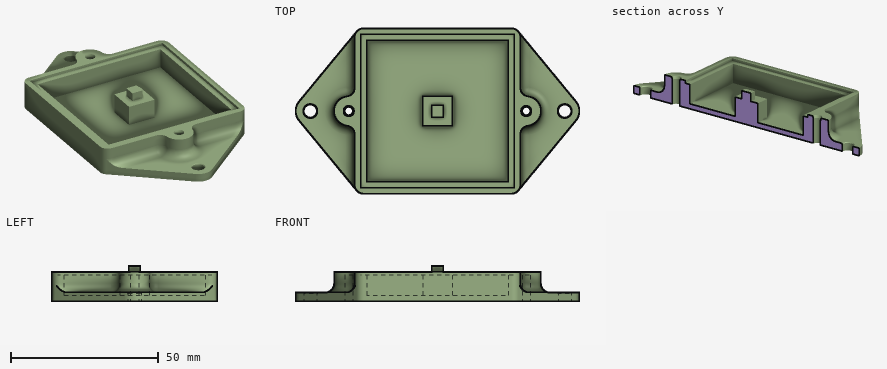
import cadquery as cq
import math

length = 96.0
box_side = 56.0
box_height = 10.0
corner_radius = 3.0

wall = 2.0
ledge_width = 2.0
ledge_depth = 1.0
floor = 2.0
lip_opening = box_side - 2 * wall
cavity_side = lip_opening - 2 * ledge_width

block_side = 10.0
block_top = box_height - ledge_depth
stem_side = 4.0
stem_top = 12.0

ear_thickness = 3.0
ear_tip_radius = 5.0
ear_hole_diameter = 4.4
ear_mouth_diameter = 4.8
ear_mouth_depth = 0.3
ear_hole_x = length / 2 - ear_tip_radius

boss_radius = 5.0
boss_x = 60.0 / 2
screw_hole_diameter = 2.8
screw_mouth_diameter = 3.6
screw_mouth_depth = 1.0

blend_radius = 3.0


def square_block(side, bottom, top):
    block = cq.Workplane("XY").workplane(offset=bottom).rect(side, side)
    return block.extrude(top - bottom)


def footprint():
    """Full-height prism: edges run tangent from the box corner arcs to the round ear tips."""
    corner = box_side / 2 - corner_radius
    run = ear_hole_x - corner
    spacing = math.hypot(run, corner)
    angle = math.atan2(run, corner) + math.asin((ear_tip_radius - corner_radius) / spacing)
    nx = math.cos(angle)
    ny = math.sin(angle)
    corner_x = corner + corner_radius * nx
    corner_y = corner + corner_radius * ny
    tip_x = ear_hole_x + ear_tip_radius * nx
    tip_y = ear_tip_radius * ny
    ears = (
        cq.Workplane("XY")
        .moveTo(-corner_x, corner_y)
        .lineTo(corner_x, corner_y)
        .lineTo(tip_x, tip_y)
        .threePointArc((length / 2, 0), (tip_x, -tip_y))
        .lineTo(corner_x, -corner_y)
        .lineTo(-corner_x, -corner_y)
        .lineTo(-tip_x, -tip_y)
        .threePointArc((-length / 2, 0), (-tip_x, tip_y))
        .close()
        .extrude(box_height)
    )
    return ears.union(rounded_box())


def rounded_box():
    return square_block(box_side, 0, box_height).edges("|Z").fillet(corner_radius)


def housing_on_plate():
    """Box with bosses on an oversized plate, coved where they meet the plate."""
    bosses = cq.Workplane("XY").pushPoints([(-boss_x, 0), (boss_x, 0)]).circle(boss_radius)
    housing = rounded_box().union(bosses.extrude(box_height))
    joints = cq.selectors.BoxSelector(
        (-length, -boss_radius, 0), (length, boss_radius, box_height)
    )
    inner_corners = housing.edges("|Z").edges(joints)
    housing = inner_corners.fillet(blend_radius)

    plate = cq.Workplane("XY").box(2 * length, length, ear_thickness, centered=(True, True, False))
    body = plate.union(housing)
    margin = 0.1
    root_loop = cq.selectors.BoxSelector(
        (-length / 2, -length / 2 + margin, ear_thickness - margin),
        (length / 2, length / 2 - margin, ear_thickness + margin),
    )
    return body.edges(root_loop).fillet(blend_radius)


def tapered_hole(x, top, diameter, mouth_diameter, mouth_depth):
    """Cutter for a through hole that widens to its mouth at the given top height."""
    profile = [
        (0, 0),
        (diameter / 2, 0),
        (diameter / 2, top - mouth_depth),
        (mouth_diameter / 2, top),
        (0, top),
    ]
    cutter = cq.Workplane("XZ").polyline(profile).close().revolve(360, (0, 0, 0), (0, 1, 0))
    return cutter.translate((x, 0, 0))


result = housing_on_plate().intersect(footprint())

result = result.cut(square_block(lip_opening, box_height - ledge_depth, box_height))
result = result.cut(square_block(cavity_side, floor, box_height))

result = result.union(square_block(block_side, 0, block_top))
result = result.union(square_block(stem_side, 0, stem_top))

for side in (-1, 1):
    result = result.cut(tapered_hole(
        side * ear_hole_x, ear_thickness, ear_hole_diameter, ear_mouth_diameter, ear_mouth_depth
    ))
    result = result.cut(tapered_hole(
        side * boss_x, box_height, screw_hole_diameter, screw_mouth_diameter, screw_mouth_depth
    ))